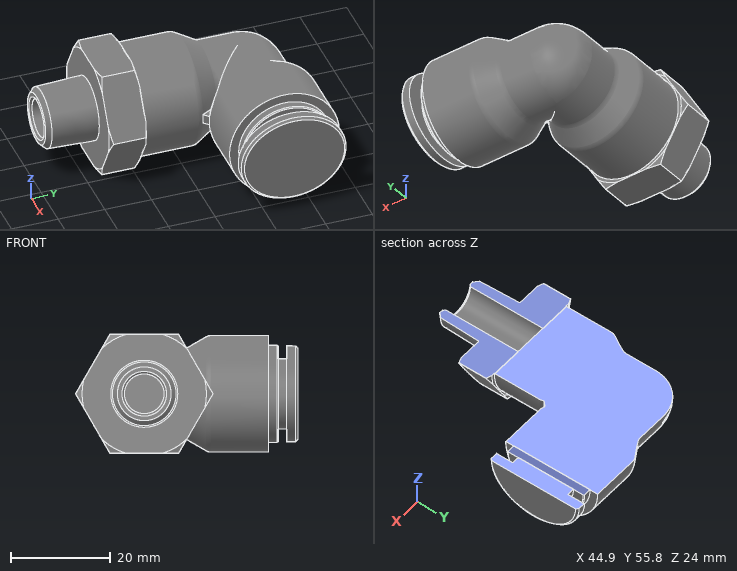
import cadquery as cq
import math


ELBOW_DIAMETER = 17.95
BARREL_DIAMETER = 23.5
ARM_LENGTH = 25.05
CONE_START = 8.1
CONE_HALF_ANGLE = 30
CONE_BLEND_RADIUS = 2.0
WEB_THICKNESS = 2.0
WEB_EDGE_X = 12.65
WEB_EDGE_Y = 11.45

HEX_ACROSS_FLATS = 24
HEX_LENGTH = 8.0
HEX_FACE_DIAMETER = 25.05
HEX_CHAMFER_HEIGHT = 0.5
STUD_END = 44.0
THREAD_ROOT_DIAMETER = 13.5
THREAD_TIP_DIAMETER = 12.8
THREAD_CHAMFER = 1.0
BORE_DIAMETER = 8.0
BORE_CHAMFER = 0.5

COLLAR_DIAMETER = 19.6
COLLAR_LENGTH = 1.95
COLLAR_CHAMFER = 0.2

NECK_DIAMETER = 14.2
NECK_LENGTH = 1.7
FLANGE_WIDTH = 22.45
FLANGE_HEIGHT = 19.35
FLANGE_THICKNESS = 2.3
FLANGE_CHAMFER = 0.5


def onto_socket_axis(body):
    """Turn a body built along +Z so that it runs along +X."""
    return body.rotate((0, 0, 0), (0, 1, 0), 90)


def onto_thread_axis(body):
    """Turn a body built along +Z so that it runs along -Y."""
    return body.rotate((0, 0, 0), (1, 0, 0), 90)


def revolve_about_z(points):
    """Revolve a closed (radius, height) outline about Z."""
    return cq.Workplane("XZ").polyline(points).close().revolve(360, (0, 0), (0, 1))


def make_arm():
    """One housing arm: a tube widening through a blended cone to a barrel."""
    elbow_radius = ELBOW_DIAMETER / 2
    barrel_radius = BARREL_DIAMETER / 2
    cone_length = (barrel_radius - elbow_radius) / math.tan(math.radians(CONE_HALF_ANGLE))
    arm = revolve_about_z([
        (0, 0),
        (elbow_radius, 0),
        (elbow_radius, CONE_START),
        (barrel_radius, CONE_START + cone_length),
        (barrel_radius, ARM_LENGTH),
        (0, ARM_LENGTH),
    ])
    return arm.faces("%CONE").edges("%CIRCLE").fillet(CONE_BLEND_RADIUS)


def make_web():
    """Flat triangular web filling the inner corner between the two cones."""
    return (
        cq.Workplane("XY")
        .polyline([(0, 0), (WEB_EDGE_X, -WEB_EDGE_Y), (WEB_EDGE_Y, -WEB_EDGE_X)])
        .close()
        .extrude(WEB_THICKNESS / 2, both=True)
    )


def make_housing():
    arm = make_arm()
    corner = cq.Workplane("XY").sphere(ELBOW_DIAMETER / 2)
    return onto_socket_axis(arm).union(onto_thread_axis(arm)).union(corner).union(make_web())


def make_hex():
    """Hexagon with its corners on the X axis and both rims chamfered."""
    corner_radius = HEX_ACROSS_FLATS / math.sqrt(3)
    face_radius = HEX_FACE_DIAMETER / 2
    prism = cq.Workplane("XY").polygon(6, 2 * corner_radius).extrude(HEX_LENGTH)
    rim_cutter = revolve_about_z([
        (0, 0),
        (face_radius, 0),
        (corner_radius, HEX_CHAMFER_HEIGHT),
        (corner_radius, HEX_LENGTH - HEX_CHAMFER_HEIGHT),
        (face_radius, HEX_LENGTH),
        (0, HEX_LENGTH),
    ])
    return prism.intersect(rim_cutter)


def make_stud():
    """Hexagon with a tapered spigot and a bore right through."""
    stud_length = STUD_END - ARM_LENGTH
    root_radius = THREAD_ROOT_DIAMETER / 2
    tip_radius = THREAD_TIP_DIAMETER / 2
    spigot = revolve_about_z([
        (0, HEX_LENGTH),
        (root_radius, HEX_LENGTH),
        (tip_radius, stud_length - THREAD_CHAMFER),
        (tip_radius - THREAD_CHAMFER, stud_length),
        (0, stud_length),
    ])
    bore_radius = BORE_DIAMETER / 2
    bore = revolve_about_z([
        (0, 0),
        (bore_radius, 0),
        (bore_radius, stud_length - BORE_CHAMFER),
        (bore_radius + BORE_CHAMFER, stud_length),
        (0, stud_length),
    ])
    stud = make_hex().union(spigot).cut(bore)
    return onto_thread_axis(stud.translate((0, 0, ARM_LENGTH)))


def make_collar():
    collar = (
        cq.Workplane("XY")
        .workplane(offset=ARM_LENGTH)
        .circle(COLLAR_DIAMETER / 2)
        .extrude(COLLAR_LENGTH)
        .faces(">Z")
        .chamfer(COLLAR_CHAMFER)
    )
    return onto_socket_axis(collar)


def make_release_ring():
    """Round neck carrying an oval flange, wider along Y than along Z."""
    neck_start = ARM_LENGTH + COLLAR_LENGTH
    neck = (
        cq.Workplane("XY")
        .workplane(offset=neck_start)
        .circle(NECK_DIAMETER / 2)
        .extrude(NECK_LENGTH)
    )
    flange = (
        cq.Workplane("XY")
        .workplane(offset=neck_start + NECK_LENGTH)
        .ellipse(FLANGE_HEIGHT / 2, FLANGE_WIDTH / 2)
        .extrude(FLANGE_THICKNESS)
        .faces(">Z")
        .chamfer(FLANGE_CHAMFER)
    )
    return onto_socket_axis(neck.union(flange))


housing = make_housing()
stud = make_stud()
collar = make_collar()
release_ring = make_release_ring()

result = cq.Compound.makeCompound([
    housing.val(),
    stud.val(),
    collar.val(),
    release_ring.val(),
])